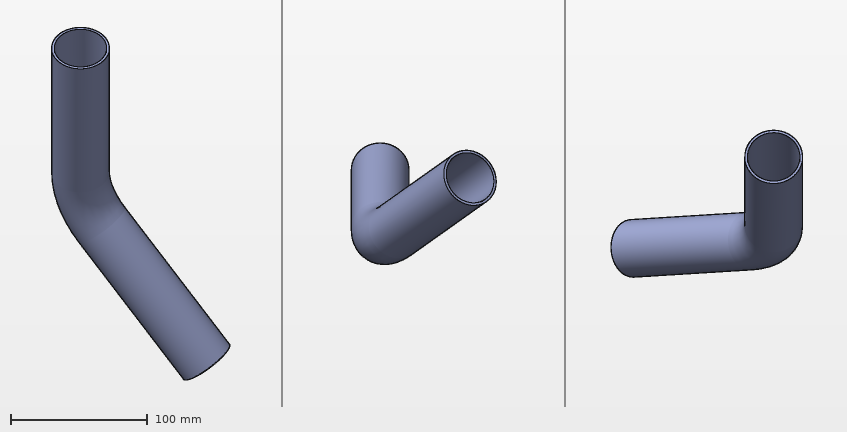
import cadquery as cq
import math

outer_diameter = 42.4
inner_diameter = 38.4
leg_length = 130.0
bend_angle = 45.0
bend_radius = 1.5 * outer_diameter


def centreline():
    """Vertical leg, tangent elbow and sloping leg, in the XZ plane, running downwards."""
    angle = math.radians(bend_angle)

    def elbow_point(turn):
        x = bend_radius * (1 - math.cos(turn))
        z = -bend_radius * math.sin(turn)
        return x, z

    elbow_end = elbow_point(angle)
    leg_end = (
        elbow_end[0] + leg_length * math.sin(angle),
        elbow_end[1] - leg_length * math.cos(angle),
    )
    return (
        cq.Workplane("XZ")
        .moveTo(0, leg_length)
        .lineTo(0, 0)
        .threePointArc(elbow_point(angle / 2), elbow_end)
        .lineTo(*leg_end)
    )


def bent_tube():
    """Ring-shaped wall section swept along the centreline, open at both ends."""
    return (
        cq.Workplane("XY", origin=(0, 0, leg_length))
        .circle(outer_diameter / 2)
        .circle(inner_diameter / 2)
        .sweep(centreline())
    )


result = bent_tube()